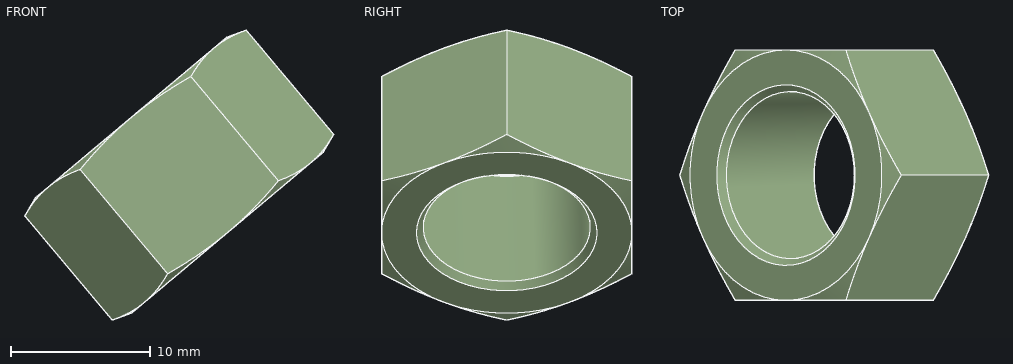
import cadquery as cq
import math

across_flats = 18.0
thickness = 10.8
bore_diameter = 12.0
bore_chamfer = 0.49
corner_chamfer_angle = 20.0
axis_tilt = 40.0

across_corners = across_flats / math.cos(math.radians(30))
flat_radius = across_flats / 2
corner_radius = across_corners / 2
corner_drop = (corner_radius - flat_radius) * math.tan(math.radians(corner_chamfer_angle))


def hexagonal_blank():
    """Hexagonal prism centred on the origin, with two flats facing +Y and -Y."""
    return cq.Workplane("XY").polygon(6, across_corners).extrude(thickness / 2, both=True)


def chamfer_envelope():
    """Turned envelope whose conical ends start at the circle touching the flats."""
    half = thickness / 2
    profile = [
        (0, -half),
        (flat_radius, -half),
        (corner_radius, -half + corner_drop),
        (corner_radius, half - corner_drop),
        (flat_radius, half),
        (0, half),
    ]
    return cq.Workplane("XZ").polyline(profile).close().revolve(360, (0, 0), (0, 1))


def bore_cutter():
    """Through bore widened by a 45 degree chamfer at both ends."""
    half = thickness / 2
    bore_radius = bore_diameter / 2
    mouth_radius = bore_radius + bore_chamfer
    profile = [
        (0, -half),
        (mouth_radius, -half),
        (bore_radius, -half + bore_chamfer),
        (bore_radius, half - bore_chamfer),
        (mouth_radius, half),
        (0, half),
    ]
    return cq.Workplane("XZ").polyline(profile).close().revolve(360, (0, 0), (0, 1))


nut = hexagonal_blank().intersect(chamfer_envelope()).cut(bore_cutter())
result = nut.rotate((0, 0, 0), (0, 1, 0), -axis_tilt)